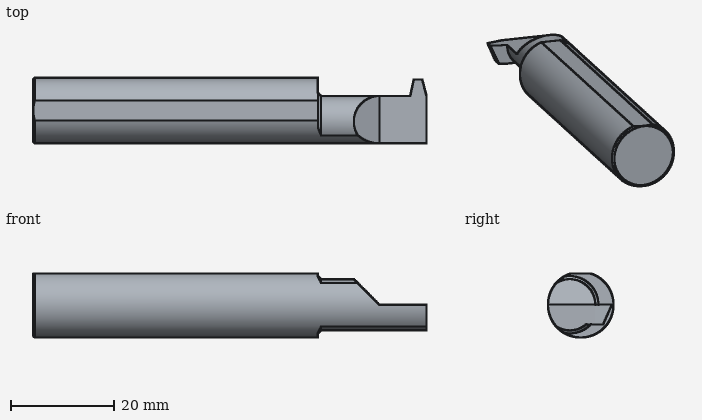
import cadquery as cq
import math

total_length = 76.2
shank_length = 55.2
shank_diameter = 12.7
shank_radius = shank_diameter / 2
height_over_flat = 12.4
end_chamfer = 0.4

neck_radius = 4.95
neck_offset = -2.1
neck_side = neck_offset + neck_radius
root_chamfer = 0.6

face_start = 67.05
ramp_run = shank_radius

tooth_reach = 6.0
tooth_base_start = 73.0
tooth_tip_start = 73.7
tooth_tip_end = 75.35
tooth_depth = 3.8
relief_angle = 24.0


def x_cylinder(radius, start, end, y=0):
    """Cylinder parallel to X between two stations."""
    return cq.Workplane("YZ", origin=(start, y, 0)).circle(radius).extrude(end - start)


def make_shank():
    shank = x_cylinder(shank_radius, 0, shank_length).faces("<X").chamfer(end_chamfer)
    below_flat = cq.Workplane("XY").box(
        shank_length, shank_diameter, height_over_flat, centered=(False, True, False)
    ).translate((0, 0, -shank_radius))
    return shank.intersect(below_flat)


def make_neck():
    neck = x_cylinder(neck_radius, shank_length, total_length, neck_offset)
    root = cq.Workplane(
        cq.Solid.makeCone(
            neck_radius + root_chamfer,
            neck_radius,
            root_chamfer,
            pnt=cq.Vector(shank_length, neck_offset, 0),
            dir=cq.Vector(1, 0, 0),
        )
    )
    envelope = x_cylinder(shank_radius, shank_length, total_length)
    above_face = (
        cq.Workplane("XZ")
        .moveTo(face_start, 0)
        .lineTo(total_length, 0)
        .lineTo(total_length, ramp_run)
        .lineTo(face_start - ramp_run, ramp_run)
        .close()
        .extrude(shank_radius, both=True)
    )
    return neck.union(root).intersect(envelope).cut(above_face)


def make_tooth():
    """Trapezoidal tooth whose sides start inside the neck and whose tip leans back below the face."""
    outline = (
        cq.Workplane("XY")
        .moveTo(tooth_base_start, neck_offset)
        .lineTo(tooth_base_start, neck_side)
        .lineTo(tooth_tip_start, tooth_reach)
        .lineTo(tooth_tip_end, tooth_reach)
        .lineTo(total_length, neck_side)
        .lineTo(total_length, neck_offset)
        .close()
        .extrude(-tooth_depth)
    )
    tip_setback = tooth_depth * math.tan(math.radians(relief_angle))
    relief_profile = (
        cq.Workplane("YZ")
        .moveTo(neck_offset, 0)
        .lineTo(tooth_reach, 0)
        .lineTo(tooth_reach - tip_setback, -tooth_depth)
        .lineTo(neck_offset, -tooth_depth)
        .close()
        .extrude(total_length)
    )
    return outline.intersect(relief_profile)


result = make_shank().union(make_neck()).union(make_tooth())